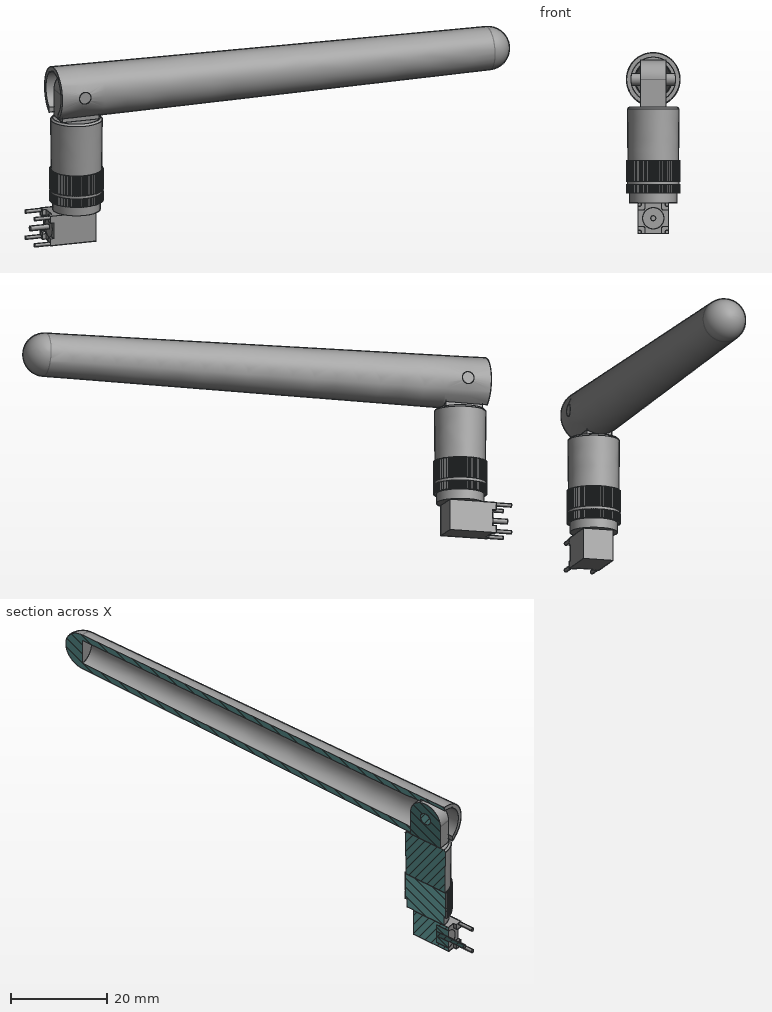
import cadquery as cq
import math


block_size = 6.4
block_half = block_size / 2
block_face_y = -6.1
foot_height = 0.7
foot_gap = 3.4
foot_relief_radius = 2.6
pin_end_y = -10.2
corner_pin_radius = 0.37
corner_pin_offset = block_half - corner_pin_radius
center_pin_radius = 0.5
insulator_radius = 2.2
insulator_depth = 3.2
connector_axis_z = block_half

collar_radius = 4.9
collar_height = 2.0
knurl_radius = 5.6
knurl_root_radius = 5.4
knurl_teeth = 90
lower_knurl_height = 1.8
upper_knurl_height = 4.3
knurl_gap = 0.6
nut_bottom_z = block_size
nut_top_z = nut_bottom_z + collar_height + lower_knurl_height + knurl_gap + upper_knurl_height

housing_bottom_radius = 5.3
housing_top_radius = 5.4
housing_top_z = 26.3
housing_chamfer = 0.4

total_length = 105.2
tube_base_radius = 5.6
tube_axis_z = 32.0
tube_end_y = -5.0
tube_tip_y = pin_end_y + total_length
dome_radius = 4.5
dome_start_y = tube_tip_y - dome_radius
socket_radius = 4.6
socket_depth = 6.3
socket_floor_y = tube_end_y + socket_depth
bore_radius = 3.9
bore_tip_radius = 2.9

blade_thickness = 5.4
blade_radius = 4.0
hinge_radius = 1.3
hinge_half_length = 5.5


def rod_along_y(radius, start_y, end_y, x, z):
    """Solid round rod parallel to the Y axis."""
    rod = cq.Workplane("XZ", origin=(x, start_y, z)).circle(radius)
    return rod.extrude(start_y - end_y)


def rod_along_x(radius, half_length):
    """Solid round rod on the hinge axis, centred on X = 0."""
    rod = cq.Workplane("YZ", origin=(0, 0, tube_axis_z)).circle(radius)
    return rod.extrude(half_length, both=True)


def box_between(x_range, y_range, z_range):
    """Box given by its lower and upper limit on each axis."""
    sizes = [high - low for low, high in (x_range, y_range, z_range)]
    corner = (x_range[0], y_range[0], z_range[0])
    return cq.Workplane("XY", origin=corner).box(*sizes, centered=False)


def make_connector_block():
    feet_y = block_face_y - foot_height
    block = box_between((-block_half, block_half), (feet_y, block_half), (0, block_size))

    gap_half = foot_gap / 2
    gap_z = (connector_axis_z - gap_half, connector_axis_z + gap_half)
    channel_y = (feet_y, block_face_y)
    block = block.cut(box_between((-block_half, block_half), channel_y, gap_z))
    block = block.cut(box_between((-gap_half, gap_half), channel_y, (0, block_size)))
    block = block.cut(rod_along_y(foot_relief_radius, feet_y, block_face_y, 0, connector_axis_z))

    block = block.cut(make_insulator_plug())

    for x in (-corner_pin_offset, corner_pin_offset):
        for dz in (-corner_pin_offset, corner_pin_offset):
            pin = rod_along_y(corner_pin_radius, pin_end_y, feet_y, x, connector_axis_z + dz)
            block = block.union(pin)
    return block


def make_insulator_plug():
    insulator_end_y = block_face_y + insulator_depth
    return rod_along_y(insulator_radius, block_face_y, insulator_end_y, 0, connector_axis_z)


def make_center_pin():
    inner_end_y = block_face_y + insulator_depth
    return rod_along_y(center_pin_radius, pin_end_y, inner_end_y, 0, connector_axis_z)


def make_insulator():
    return make_insulator_plug().cut(make_center_pin())


def knurled_band(bottom_z, height):
    """Disc with straight V-shaped teeth around its rim."""
    points = []
    for i in range(2 * knurl_teeth):
        radius = knurl_radius if i % 2 == 0 else knurl_root_radius
        angle = math.pi * i / knurl_teeth
        points.append((radius * math.cos(angle), radius * math.sin(angle)))
    return cq.Workplane("XY", origin=(0, 0, bottom_z)).polyline(points).close().extrude(height)


def make_nut():
    lower_band_z = nut_bottom_z + collar_height
    groove_z = lower_band_z + lower_knurl_height
    upper_band_z = groove_z + knurl_gap
    nut = cq.Workplane("XY", origin=(0, 0, nut_bottom_z)).circle(collar_radius).extrude(collar_height)
    nut = nut.union(knurled_band(lower_band_z, lower_knurl_height))
    groove = cq.Workplane("XY", origin=(0, 0, groove_z)).circle(knurl_root_radius).extrude(knurl_gap)
    nut = nut.union(groove)
    return nut.union(knurled_band(upper_band_z, upper_knurl_height))


def make_housing():
    return (
        cq.Workplane("XZ")
        .moveTo(0, nut_top_z)
        .lineTo(-housing_bottom_radius, nut_top_z)
        .lineTo(-housing_top_radius, housing_top_z - housing_chamfer)
        .lineTo(-housing_top_radius + housing_chamfer, housing_top_z)
        .lineTo(0, housing_top_z)
        .close()
        .revolve(360, (0, 0, 0), (0, 1, 0))
    )


def make_blade():
    blade = (
        cq.Workplane("YZ")
        .moveTo(-blade_radius, housing_top_z)
        .lineTo(-blade_radius, tube_axis_z)
        .threePointArc((0, tube_axis_z + blade_radius), (blade_radius, tube_axis_z))
        .lineTo(blade_radius, housing_top_z)
        .close()
        .extrude(blade_thickness / 2, both=True)
    )
    return blade.cut(make_hinge_pin())


def make_hinge_pin():
    return rod_along_x(hinge_radius, hinge_half_length)


def make_tube():
    dome_mid = dome_radius * math.sqrt(0.5)
    tube = (
        cq.Workplane("XY", origin=(0, 0, tube_axis_z))
        .moveTo(-socket_radius, tube_end_y)
        .lineTo(-tube_base_radius, tube_end_y)
        .lineTo(-dome_radius, dome_start_y)
        .threePointArc((-dome_mid, dome_start_y + dome_mid), (0, tube_tip_y))
        .lineTo(0, dome_start_y)
        .lineTo(-bore_tip_radius, dome_start_y)
        .lineTo(-bore_radius, socket_floor_y)
        .lineTo(-socket_radius, socket_floor_y)
        .close()
        .revolve(360, (0, 0, 0), (0, 1, 0))
    )

    half_slot = blade_thickness / 2
    slot = box_between(
        (-half_slot, half_slot),
        (tube_end_y, blade_radius),
        (tube_axis_z - tube_base_radius, tube_axis_z + blade_radius),
    )
    return tube.cut(slot).cut(rod_along_x(hinge_radius, tube_base_radius))


connector_block = make_connector_block()
insulator = make_insulator()
center_pin = make_center_pin()
nut = make_nut()
housing = make_housing()
blade = make_blade()
hinge_pin = make_hinge_pin()
tube = make_tube()

result = cq.Compound.makeCompound([
    connector_block.val(),
    insulator.val(),
    center_pin.val(),
    nut.val(),
    housing.val(),
    blade.val(),
    hinge_pin.val(),
    tube.val(),
])